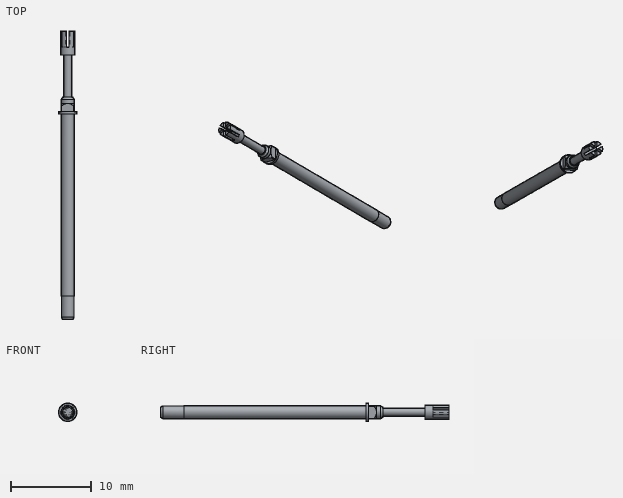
import cadquery as cq

length = 35.8
tip_y = length / 2

head_diameter = 1.8
plunger_diameter = 1.0
nose_diameter = 1.25
barrel_diameter = 1.65
flange_diameter = 2.3

head_length = 3.0
nose_start = 8.2
nose_end = 8.52
drive_start = 9.0
flange_start = 10.0
flange_end = 10.3
tail_start = 32.85

slot_count = 3
slot_width = 0.3
slot_depth = 2.0

drive_corner_diameter = 2.22
drive_chamfer = (drive_corner_diameter - barrel_diameter) / 2

tail_diameter = 1.6
tail_end_diameter = 1.3
tail_taper_start = 35.5


def cylinder(diameter, start, end):
    """Round section between two distances behind the tip."""
    face = cq.Workplane("XZ", origin=(0, tip_y - start, 0))
    return face.circle(diameter / 2).extrude(end - start)


def taper(front_diameter, back_diameter, start, end):
    """Conical section between two distances behind the tip."""
    return (
        cq.Workplane("XZ", origin=(0, tip_y - start, 0))
        .circle(front_diameter / 2)
        .workplane(offset=end - start)
        .circle(back_diameter / 2)
        .loft()
    )


def slotted_head():
    head = cylinder(head_diameter, 0, head_length)
    for index in range(slot_count):
        slot = (
            cq.Workplane("XY")
            .box(slot_width, slot_depth, head_diameter * 2)
            .translate((0, tip_y - slot_depth / 2, 0))
            .rotate((0, 0, 0), (0, 1, 0), index * 180 / slot_count)
        )
        head = head.cut(slot)
    return head


def nose():
    cone = taper(nose_diameter, barrel_diameter, nose_start, nose_end)
    return cone.union(cylinder(barrel_diameter, nose_end, drive_start))


def square_drive():
    turned = cylinder(drive_corner_diameter, drive_start, flange_start).faces(">Y").chamfer(drive_chamfer)
    drive_length = flange_start - drive_start
    square = (
        cq.Workplane("XZ", origin=(0, tip_y - drive_start, 0))
        .rect(barrel_diameter, barrel_diameter)
        .extrude(drive_length)
    )
    return turned.intersect(square)


def tail():
    plug = cylinder(tail_diameter, tail_start, tail_taper_start)
    return plug.union(taper(tail_diameter, tail_end_diameter, tail_taper_start, length))


result = (
    slotted_head()
    .union(cylinder(plunger_diameter, head_length, nose_start))
    .union(nose())
    .union(square_drive())
    .union(cylinder(flange_diameter, flange_start, flange_end))
    .union(cylinder(barrel_diameter, flange_end, tail_start))
    .union(tail())
)